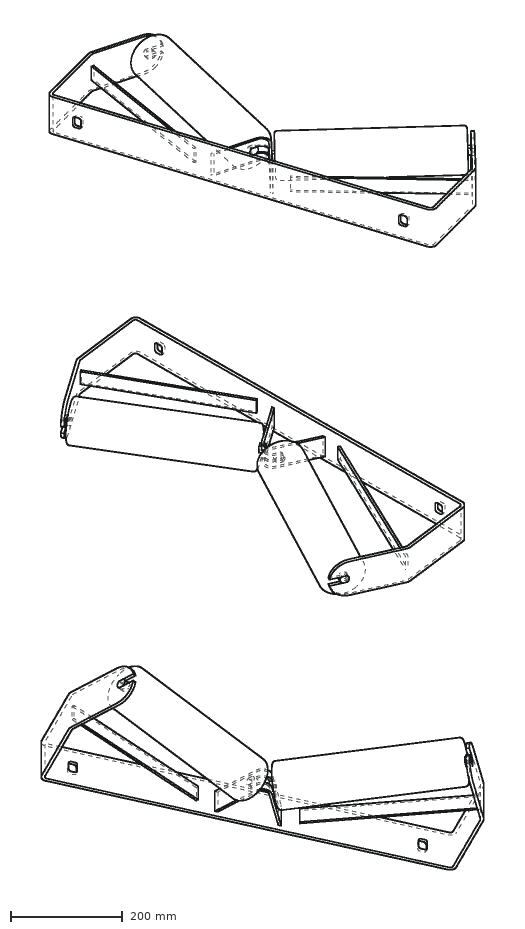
import cadquery as cq
import math

FRAME_LENGTH = 790.0
FRAME_HEIGHT = 80.0
BASE_THICKNESS = 7.0
SIDE_THICKNESS = 6.0
SIDE_TOP_Y = 159.5
BEND_RADIUS = 12.0
FLANGE_BEND_RADIUS = 16.0
FLANGE_LENGTH = 151.0
LEAN_ANGLE = 30.0

MOUNT_HOLE_X = 333.0
MOUNT_HOLE_WIDTH = 16.5
MOUNT_HOLE_HEIGHT = 22.0
MOUNT_HOLE_CORNER = 5.0

BRACKET_THICKNESS = 5.0
BRACKET_HEIGHT = 46.0
BRACKET_FOOT_X = 63.0
BRACKET_BEND_RADIUS = 18.0

ROLLER_DIAMETER = 89.0
ROLLER_FILLET = 5.5
ROLLER_GAP = 5.5
ROLLER_TILT = 1.1
AXIS_ON_FLANGE = 122.0
SHAFT_DIAMETER = 18.0
SHAFT_FLATS = 15.0

BRACE_THICKNESS = 5.0
BRACE_HEIGHT = 30.0
BRACE_ANGLE = 27.0
BRACE_FOOT_X = 99.0

HALF_LENGTH = FRAME_LENGTH / 2
LEAN = math.radians(LEAN_ANGLE)
TILT = math.radians(ROLLER_TILT)

ALONG_PLATE = cq.Vector(math.sin(LEAN), math.cos(LEAN), 0)
ACROSS_PLATE = cq.Vector(math.cos(LEAN), -math.sin(LEAN), 0)
UP = cq.Vector(0, 0, 1)

FLANGE_CORNER = cq.Vector(-HALF_LENGTH, SIDE_TOP_Y, 0)
BRACKET_FOOT = cq.Vector(-BRACKET_FOOT_X, BASE_THICKNESS, 0)
AXIS_START = FLANGE_CORNER + ALONG_PLATE * AXIS_ON_FLANGE
PLATE_SPAN = (BRACKET_FOOT - FLANGE_CORNER).dot(ACROSS_PLATE)
AXIS_DIRECTION = ACROSS_PLATE * math.cos(TILT) - UP * math.sin(TILT)


def mirrored(body):
    """The same body on the other side of the middle plane."""
    return body.mirror("YZ")


def both_sides(body):
    return [body, mirrored(body)]


def axis_plane(distance):
    """Plane square to the left roller axis; its local x runs down along the flange."""
    return cq.Plane(AXIS_START + AXIS_DIRECTION * distance, -ALONG_PLATE, AXIS_DIRECTION)


def shaft_length(distance, length):
    """A length of round shaft with two flats."""
    flats = cq.Workplane(axis_plane(distance)).rect(SHAFT_DIAMETER, SHAFT_FLATS).extrude(length)
    return cq.Workplane(axis_plane(distance)).circle(SHAFT_DIAMETER / 2).extrude(length).intersect(flats)


def shaft_slot(distance, depth, opening):
    """Cutter for a slot that seats the shaft and is open towards the plate's upper end."""
    channel = (
        cq.Workplane(axis_plane(distance))
        .rect(opening, SHAFT_FLATS)
        .extrude(depth)
        .translate(ALONG_PLATE * (opening / 2))
    )
    return shaft_length(distance, depth).union(channel)


def half_frame_blank():
    """Left half of the frame before its flange tip, slot and hole are cut."""
    tip = FLANGE_CORNER + ALONG_PLATE * FLANGE_LENGTH
    inner_tip = tip + ACROSS_PLATE * SIDE_THICKNESS
    inner_corner_y = SIDE_TOP_Y - SIDE_THICKNESS * math.tan(LEAN / 2)
    half = (
        cq.Workplane("XY", origin=(0, 0, -FRAME_HEIGHT / 2))
        .moveTo(0, 0)
        .lineTo(-HALF_LENGTH, 0)
        .lineTo(-HALF_LENGTH, SIDE_TOP_Y)
        .lineTo(tip.x, tip.y)
        .lineTo(inner_tip.x, inner_tip.y)
        .lineTo(-HALF_LENGTH + SIDE_THICKNESS, inner_corner_y)
        .lineTo(-HALF_LENGTH + SIDE_THICKNESS, BASE_THICKNESS)
        .lineTo(0, BASE_THICKNESS)
        .close()
        .extrude(FRAME_HEIGHT)
    )

    def bend(body, x, y, radius):
        return body.edges(cq.selectors.NearestToPointSelector((x, y, 0))).fillet(radius)

    half = bend(half, -HALF_LENGTH, 0, BEND_RADIUS)
    half = bend(half, -HALF_LENGTH + SIDE_THICKNESS, BASE_THICKNESS, BEND_RADIUS - SIDE_THICKNESS)
    half = bend(half, -HALF_LENGTH, SIDE_TOP_Y, FLANGE_BEND_RADIUS)
    return bend(half, -HALF_LENGTH + SIDE_THICKNESS, inner_corner_y, FLANGE_BEND_RADIUS - SIDE_THICKNESS)


def flange_tip_cutter():
    """What lies outside the half-round tip of the flange."""
    radius = FRAME_HEIGHT / 2
    depth = 3 * SIDE_THICKNESS
    centre = FLANGE_CORNER + ALONG_PLATE * (FLANGE_LENGTH - radius) - ACROSS_PLATE * SIDE_THICKNESS
    plane = cq.Plane(centre, ALONG_PLATE, ACROSS_PLATE)
    block = cq.Workplane(plane).center(radius, 0).rect(2 * radius, 4 * radius).extrude(depth)
    return block.cut(cq.Workplane(plane).circle(radius).extrude(depth))


def make_frame():
    half = half_frame_blank().cut(flange_tip_cutter())
    half = half.cut(shaft_slot(-SIDE_THICKNESS, 3 * SIDE_THICKNESS, FLANGE_LENGTH))
    hole = (
        cq.Workplane("XZ", origin=(-MOUNT_HOLE_X, BASE_THICKNESS, 0))
        .rect(MOUNT_HOLE_WIDTH, MOUNT_HOLE_HEIGHT)
        .extrude(BASE_THICKNESS)
        .edges("|Y")
        .fillet(MOUNT_HOLE_CORNER)
    )
    half = half.cut(hole)
    return half.union(mirrored(half))


def make_bracket():
    apex_y = BASE_THICKNESS + BRACKET_FOOT_X / math.tan(LEAN)
    inner_foot_x = BRACKET_FOOT_X - BRACKET_THICKNESS / math.cos(LEAN)
    inner_apex_y = BASE_THICKNESS + inner_foot_x / math.tan(LEAN)
    shaft_z = -PLATE_SPAN * math.sin(TILT)
    bracket = (
        cq.Workplane("XY", origin=(0, 0, shaft_z - BRACKET_HEIGHT / 2))
        .moveTo(-BRACKET_FOOT_X, BASE_THICKNESS)
        .lineTo(0, apex_y)
        .lineTo(BRACKET_FOOT_X, BASE_THICKNESS)
        .lineTo(inner_foot_x, BASE_THICKNESS)
        .lineTo(0, inner_apex_y)
        .lineTo(-inner_foot_x, BASE_THICKNESS)
        .close()
        .extrude(BRACKET_HEIGHT)
    )
    outer_apex = cq.selectors.NearestToPointSelector((0, apex_y, shaft_z))
    bracket = bracket.edges(outer_apex).fillet(BRACKET_BEND_RADIUS)
    inner_apex = cq.selectors.NearestToPointSelector((0, inner_apex_y, shaft_z))
    bracket = bracket.edges(inner_apex).fillet(BRACKET_BEND_RADIUS - BRACKET_THICKNESS)
    slot = shaft_slot(PLATE_SPAN - BRACKET_THICKNESS, 4 * BRACKET_THICKNESS, BRACKET_FOOT_X)
    return bracket.cut(slot).cut(mirrored(slot))


def make_roller():
    start = SIDE_THICKNESS + ROLLER_GAP
    length = PLATE_SPAN - start - ROLLER_GAP
    tube = (
        cq.Workplane(axis_plane(start))
        .circle(ROLLER_DIAMETER / 2)
        .extrude(length)
        .faces("%PLANE")
        .edges()
        .fillet(ROLLER_FILLET)
    )
    return tube.union(shaft_length(0, PLATE_SPAN + BRACKET_THICKNESS))


def make_brace():
    angle = math.radians(BRACE_ANGLE)
    run = HALF_LENGTH - SIDE_THICKNESS - BRACE_FOOT_X
    length = run / math.cos(angle)
    return (
        cq.Workplane("XY")
        .box(length, BRACE_THICKNESS, BRACE_HEIGHT, centered=(False, False, True))
        .mirror("YZ")
        .rotate((0, 0, 0), (0, 0, 1), -BRACE_ANGLE)
        .translate((-BRACE_FOOT_X, BASE_THICKNESS, 0))
    )


frame = make_frame()
bracket = make_bracket()
rollers = both_sides(make_roller())
braces = both_sides(make_brace())

result = cq.Compound.makeCompound(
    [frame.val(), bracket.val()] + [body.val() for body in rollers + braces]
)